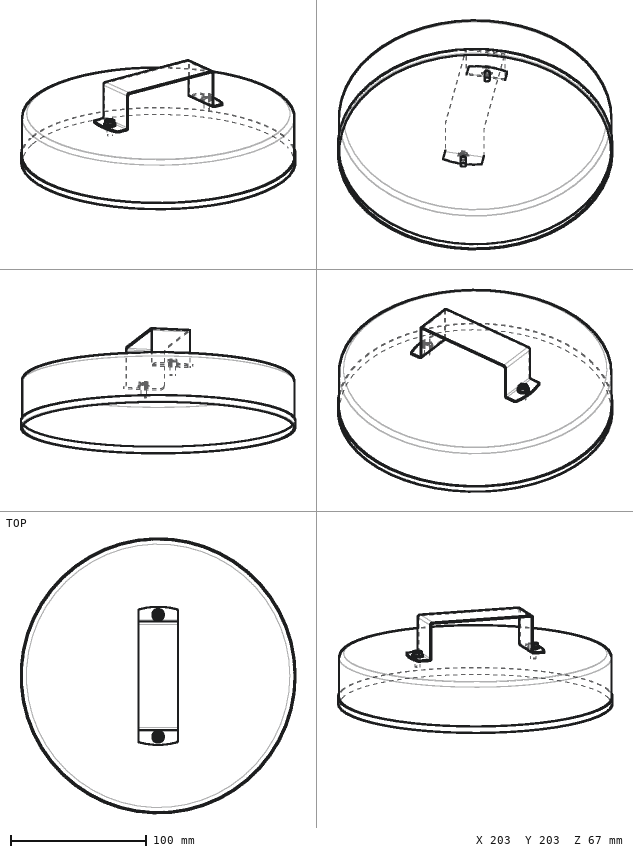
import cadquery as cq
import math

wall = 0.5
lid_height = 38.0
lid_outer_radius = 201.35 / 2
lid_inner_radius = lid_outer_radius - wall
top_edge_radius = 3.5
band_outer_radius = 202.95 / 2
band_height = 5.0
band_edge_radius = 0.5

overall_height = 67.0
strip_thickness = 1.0
strip_width = 29.0
leg_outer_y = 40.0
leg_inner_y = leg_outer_y - strip_thickness
bend_inner_radius = 1.0
bend_outer_radius = bend_inner_radius + strip_thickness
foot_end_radius = 51.0
foot_corner_radius = 1.0
foot_top = lid_height + strip_thickness
span_underside = overall_height - strip_thickness

screw_y = 45.0
screw_places = [(0, -screw_y), (0, screw_y)]
shank_diameter = 4.0
shank_length = 8.0
flange_diameter = 8.4
flange_height = 1.0
flange_chamfer = 0.4
hexagon_width = 6.0
hexagon_corner_diameter = hexagon_width / math.cos(math.pi / 6)
head_height = 3.5
dish_diameter = 5.1
dish_depth = 0.5
cross_arm_width = 1.2
cross_top_length = 4.4
cross_floor_length = 2.2
cross_end_slope = math.radians(60)
cross_depth = (cross_top_length - cross_floor_length) / 2 * math.tan(cross_end_slope)


def make_rounded_disc(radius, height, edge_radius):
    """A round block standing on Z = 0 with a rounded top edge."""
    return cq.Workplane("XY").circle(radius).extrude(height).faces(">Z").edges().fillet(edge_radius)


def make_shank(place, top):
    """The round shank of one screw, reaching down from the given level."""
    return cq.Workplane("XY", origin=(*place, top)).circle(shank_diameter / 2).extrude(-shank_length)


def drill_screw_holes(body):
    for place in screw_places:
        body = body.cut(make_shank(place, foot_top))
    return body


def make_lid():
    """Add the mouth band to the outer cup, hollow it out and drill the top."""
    band = cq.Workplane("XY").circle(band_outer_radius).extrude(band_height)
    band = band.faces("<Z").edges().fillet(band_edge_radius)
    lid = make_rounded_disc(lid_outer_radius, lid_height, top_edge_radius).union(band)
    lid = lid.cut(make_rounded_disc(lid_inner_radius, lid_height - wall, top_edge_radius - wall))
    return drill_screw_holes(lid)


def bend_edges(y, z):
    """Select the two bend lines across the strip at the given leg distance and level."""
    reach = strip_thickness / 2
    lines = [
        cq.selectors.BoxSelector((-reach, side_y - reach, z - reach), (reach, side_y + reach, z + reach))
        for side_y in (-y, y)
    ]
    return lines[0] + lines[1]


def make_handle():
    """Extrude half the strip's profile, mirror it, round its bends and shape its feet."""
    strip = (
        cq.Workplane("YZ")
        .moveTo(0, overall_height)
        .lineTo(leg_outer_y, overall_height)
        .lineTo(leg_outer_y, foot_top)
        .lineTo(foot_end_radius, foot_top)
        .lineTo(foot_end_radius, lid_height)
        .lineTo(leg_inner_y, lid_height)
        .lineTo(leg_inner_y, span_underside)
        .lineTo(0, span_underside)
        .mirrorY()
        .extrude(strip_width / 2, both=True)
    )
    strip = strip.edges(bend_edges(leg_outer_y, overall_height)).fillet(bend_outer_radius)
    strip = strip.edges(bend_edges(leg_inner_y, span_underside)).fillet(bend_inner_radius)
    strip = strip.edges(bend_edges(leg_inner_y, lid_height)).fillet(bend_outer_radius)
    strip = strip.edges(bend_edges(leg_outer_y, foot_top)).fillet(bend_inner_radius)

    foot_outline = (
        cq.Workplane("XY", origin=(0, 0, lid_height))
        .circle(foot_end_radius)
        .extrude(overall_height - lid_height)
        .intersect(cq.Workplane("XY").box(strip_width, 2 * foot_end_radius, 2 * overall_height))
        .edges("|Z")
        .fillet(foot_corner_radius)
    )
    handle = drill_screw_holes(strip.intersect(foot_outline))

    flange_seats = (
        cq.Workplane("XY", origin=(0, 0, foot_top))
        .pushPoints(screw_places)
        .circle(flange_diameter / 2)
        .extrude(flange_height)
    )
    return handle.cut(flange_seats)


def make_cross_arm():
    """One arm of the cross recess along X, its ends sloping in towards the floor."""
    dish_floor = head_height - dish_depth
    cross_floor = dish_floor - cross_depth
    return (
        cq.Workplane("XZ")
        .moveTo(-cross_top_length / 2, dish_floor)
        .lineTo(cross_top_length / 2, dish_floor)
        .lineTo(cross_floor_length / 2, cross_floor)
        .lineTo(-cross_floor_length / 2, cross_floor)
        .close()
        .extrude(cross_arm_width / 2, both=True)
    )


def make_screw():
    """One screw on the Z axis, its flange seated at Z = 0."""
    flange = cq.Workplane("XY").circle(flange_diameter / 2).extrude(flange_height)
    flange = flange.faces(">Z").edges().chamfer(flange_chamfer)
    hexagon = cq.Workplane("XY").polygon(6, hexagon_corner_diameter).extrude(head_height)
    screw = flange.union(hexagon).union(make_shank((0, 0), 0))

    dish = cq.Workplane("XY", origin=(0, 0, head_height)).circle(dish_diameter / 2).extrude(-dish_depth)
    screw = screw.cut(dish)
    for turn in (0, 90):
        screw = screw.cut(make_cross_arm().rotate((0, 0, 0), (0, 0, 1), turn))
    return screw


lid = make_lid()
handle = make_handle()
screws = [make_screw().translate((x, y, foot_top)) for x, y in screw_places]

result = cq.Compound.makeCompound([lid.val(), handle.val(), *[screw.val() for screw in screws]])